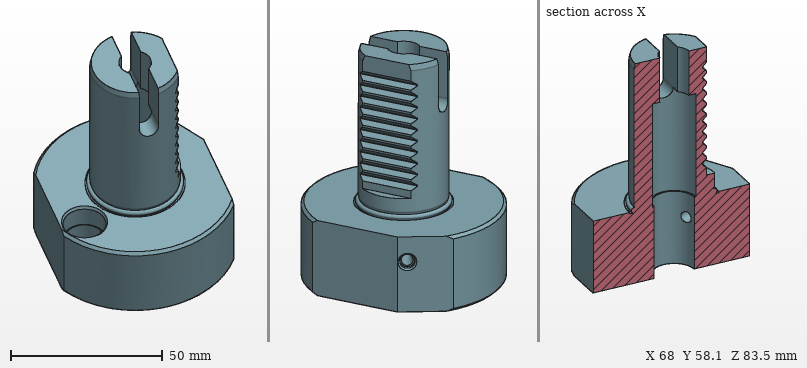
import cadquery as cq
import math

base_radius = 34.0
base_height = 27.0
base_chamfer = 1.0
front_flat = 30.1
back_flat = 28.0
slanted_flat = 30.4
slanted_angle = 120.0

shank_radius = 15.0
shank_height = 55.0
taper_angle = 15.0
top_taper_height = 2.0
foot_taper_height = 2.25
taper_slope = math.tan(math.radians(taper_angle))
shank_foot_radius = shank_radius - foot_taper_height * taper_slope
shank_tip_radius = shank_radius - top_taper_height * taper_slope
top_z = base_height + shank_height

seal_radius = 1.0
seal_center_height = 0.4
seal_recess_radius = 16.5
seal_recess_depth = 0.5

tooth_flat = 12.0
tooth_flat_bottom = 7.2
notch_count = 10
notch_pitch = 4.0
notch_depth = 1.5
notch_floor = 0.25
first_notch_depth = 7.4

slot_width = 6.7
slot_depth = 20.0
slot_floor_center_z = top_z - slot_depth + slot_width / 2
upper_bore_radius = 5.35
middle_bore_radius = 8.0
lower_bore_radius = 7.4

pocket_distance = 25.1
pocket_mouth_radius = 7.6
pocket_radius = 7.1
pocket_chamfer_height = 1.0
pocket_ledge_depth = 7.9
pocket_lower_radius = 6.8
pocket_depth = 15.0
drill_point_angle = 118.0

passage_z = base_height - 9.35
passage_radius = 2.5
passage_end_y = -8.35

side_hole_z = base_height - 9.0
side_hole_mouth_radius = 3.1
side_hole_outer_radius = 2.5
side_hole_outer_depth = 1.8
side_hole_radius = 2.0

button_distance = 20.5
button_height = 1.5
button_radius = 4.5
button_tip_radius = 3.75


def cylinder(radius, bottom_z, top):
    return cq.Workplane("XY").workplane(offset=bottom_z).circle(radius).extrude(top - bottom_z)


def turned(points):
    """Revolve an outline of (radius, height) points about the Z axis."""
    return cq.Workplane("XZ").polyline(points).close().revolve(360, (0, 0), (0, 1))


def facing_slanted_flat(distance, z):
    """Plane at a distance from the axis, parallel to the slanted flat and facing outward."""
    angle = math.radians(slanted_angle)
    outward = (math.cos(angle), math.sin(angle), 0)
    origin = (distance * outward[0], distance * outward[1], z)
    return cq.Plane(origin=origin, xDir=(-outward[1], outward[0], 0), normal=outward)


def make_base():
    base = cylinder(base_radius, 0, base_height).edges().chamfer(base_chamfer)
    band = (
        cq.Workplane("XY")
        .center(0, (back_flat - front_flat) / 2)
        .rect(2 * base_radius, back_flat + front_flat)
        .extrude(base_height)
    )
    beyond_slanted_flat = (
        cq.Workplane(facing_slanted_flat(slanted_flat, base_height / 2))
        .rect(2 * base_radius, base_height)
        .extrude(base_radius)
    )
    return base.intersect(band).cut(beyond_slanted_flat)


def make_shank():
    return turned([
        (0, base_height),
        (shank_foot_radius, base_height),
        (shank_radius, base_height + foot_taper_height),
        (shank_radius, top_z - top_taper_height),
        (shank_tip_radius, top_z),
        (0, top_z),
    ])


def make_tooth_cut():
    flat_height = shank_height - tooth_flat_bottom
    cut = cq.Workplane("XY").box(
        2 * shank_radius, shank_radius, flat_height, centered=(True, False, False)
    ).translate((0, tooth_flat, base_height + tooth_flat_bottom))
    floor_half = notch_floor / 2
    mouth_half = floor_half + notch_depth
    for index in range(notch_count):
        z = top_z - first_notch_depth - index * notch_pitch
        notch = (
            cq.Workplane("YZ")
            .polyline([
                (tooth_flat, z - mouth_half),
                (tooth_flat, z + mouth_half),
                (tooth_flat - notch_depth, z + floor_half),
                (tooth_flat - notch_depth, z - floor_half),
            ])
            .close()
            .extrude(shank_radius, both=True)
        )
        cut = cut.union(notch)
    return cut


def make_slot():
    half_width = slot_width / 2
    return (
        cq.Workplane("YZ")
        .moveTo(-half_width, top_z)
        .lineTo(-half_width, slot_floor_center_z)
        .threePointArc((0, top_z - slot_depth), (half_width, slot_floor_center_z))
        .lineTo(half_width, top_z)
        .close()
        .extrude(shank_radius, both=True)
    )


def make_seal():
    z = base_height + seal_center_height
    return (
        cq.Workplane("XZ")
        .center(shank_radius, z)
        .circle(seal_radius)
        .revolve(360, (-shank_radius, 0), (-shank_radius, 1))
    )


def make_seal_recess():
    recess = cylinder(seal_recess_radius, base_height - seal_recess_depth, base_height)
    return recess.cut(cylinder(shank_foot_radius, 0, base_height))


def make_pocket():
    floor_z = base_height - pocket_depth
    ledge_z = base_height - pocket_ledge_depth
    point_depth = pocket_lower_radius / math.tan(math.radians(drill_point_angle / 2))
    return turned([
        (0, floor_z - point_depth),
        (pocket_lower_radius, floor_z),
        (pocket_lower_radius, ledge_z),
        (pocket_radius, ledge_z),
        (pocket_radius, base_height - pocket_chamfer_height),
        (pocket_mouth_radius, base_height),
        (0, base_height),
    ]).translate(facing_slanted_flat(-pocket_distance, 0).origin)


def make_passage():
    pocket_center = facing_slanted_flat(-pocket_distance, passage_z).origin
    plane = cq.Plane(origin=pocket_center, xDir=(1, 0, 0), normal=(0, 1, 0))
    return cq.Workplane(plane).circle(passage_radius).extrude(passage_end_y - pocket_center.y)


def make_side_hole():
    mouth = cq.Workplane(facing_slanted_flat(slanted_flat, side_hole_z))
    chamfer_depth = side_hole_mouth_radius - side_hole_outer_radius
    chamfer = (
        mouth.circle(side_hole_mouth_radius)
        .workplane(offset=-chamfer_depth)
        .circle(side_hole_outer_radius)
        .loft()
    )
    outer_step = mouth.circle(side_hole_outer_radius).extrude(-side_hole_outer_depth)
    inner_hole = mouth.circle(side_hole_radius).extrude(-slanted_flat)
    return inner_hole.union(outer_step).union(chamfer)


def make_button():
    center = facing_slanted_flat(button_distance, 0).origin
    return turned([
        (0, 0),
        (button_radius, 0),
        (button_tip_radius, -button_height),
        (0, -button_height),
    ]).translate(center)


shank = make_shank().cut(make_tooth_cut()).cut(make_slot())
base = make_base().cut(make_seal_recess())
body = base.union(shank).union(make_seal()).union(make_button())

upper_bore = cylinder(upper_bore_radius, slot_floor_center_z, top_z)
middle_bore = cylinder(middle_bore_radius, base_height, slot_floor_center_z)
lower_bore = cylinder(lower_bore_radius, 0, base_height)
body = body.cut(upper_bore).cut(middle_bore).cut(lower_bore)

result = body.cut(make_pocket()).cut(make_passage()).cut(make_side_hole())